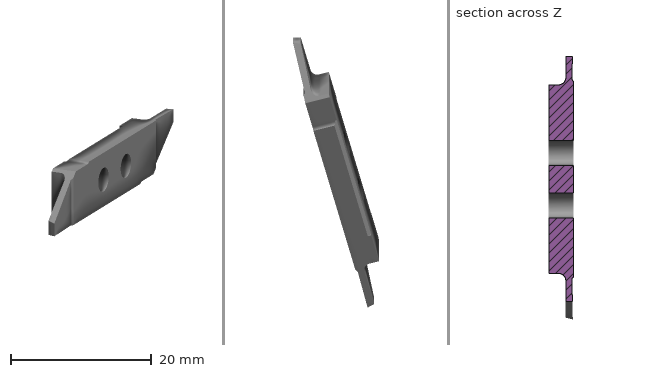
import cadquery as cq
import math

THICKNESS = 3.6
LENGTH = 40.0
HEIGHT = 8.0

BODY_END_Y = 13.45
BLADE_BACK_X = 0.62
BLADE_TIP_X = 1.68
BLADE_FILLET = 1.0
TIP_HEIGHT = 1.88
TIP_BEVEL_ANGLE = 15.0
SLOPE_ANGLE = 40.0

NECK_X = 1.55
NECK_RAMP_START_Y = 13.85
NECK_START_Y = 14.2

STEP_DEPTH = 0.25
STEP_RADIUS = 0.6
STEP_START_Y = 8.65

CHAMFER = 0.5
CHAMFER_END_Y = 9.25

HOLE_DIAMETER = 3.5
HOLE_SPACING = 7.5

HALF_THICKNESS = THICKNESS / 2
HALF_LENGTH = LENGTH / 2
HALF_HEIGHT = HEIGHT / 2


def plan_body():
    """Plan outline of the body and both blades, extruded over the full height."""
    bevel = (BLADE_TIP_X - BLADE_BACK_X) * math.tan(math.radians(TIP_BEVEL_ANGLE))
    tip_back_y = HALF_LENGTH - bevel
    fillet_y = BODY_END_Y + BLADE_FILLET
    fillet_x = BLADE_BACK_X - BLADE_FILLET
    arc_offset = BLADE_FILLET * math.sqrt(0.5)
    arc_x = fillet_x + arc_offset
    arc_y = fillet_y - arc_offset
    return (
        cq.Workplane("XY", origin=(0, 0, -HALF_HEIGHT))
        .moveTo(-HALF_THICKNESS, -BODY_END_Y)
        .lineTo(-HALF_THICKNESS, BODY_END_Y)
        .lineTo(fillet_x, BODY_END_Y)
        .threePointArc((arc_x, arc_y), (BLADE_BACK_X, fillet_y))
        .lineTo(BLADE_BACK_X, tip_back_y)
        .lineTo(BLADE_TIP_X, HALF_LENGTH)
        .lineTo(NECK_X, NECK_START_Y)
        .lineTo(HALF_THICKNESS, NECK_RAMP_START_Y)
        .lineTo(HALF_THICKNESS, -NECK_RAMP_START_Y)
        .lineTo(NECK_X, -NECK_START_Y)
        .lineTo(BLADE_TIP_X, -HALF_LENGTH)
        .lineTo(BLADE_BACK_X, -tip_back_y)
        .lineTo(BLADE_BACK_X, -fillet_y)
        .threePointArc((arc_x, -arc_y), (fillet_x, -BODY_END_Y))
        .close()
        .extrude(HEIGHT)
    )


def side_envelope():
    """Side outline with the stepped edges and sloped ends, extruded along X."""
    step_z = HALF_HEIGHT - STEP_DEPTH
    tip_z = HALF_HEIGHT - TIP_HEIGHT
    slope_start_y = HALF_LENGTH - (step_z + tip_z) / math.tan(math.radians(SLOPE_ANGLE))
    arc_angle = math.acos(1 - STEP_DEPTH / STEP_RADIUS)
    step_end_y = STEP_START_Y + STEP_RADIUS * math.sin(arc_angle)
    arc_mid_y = step_end_y - STEP_RADIUS * math.sin(arc_angle / 2)
    arc_mid_z = step_z + STEP_RADIUS * (1 - math.cos(arc_angle / 2))
    outline = cq.Workplane("YZ", origin=(-HALF_THICKNESS, 0, 0)).moveTo(-HALF_LENGTH, -HALF_HEIGHT)
    for turn in (1, -1):
        outline = (
            outline.lineTo(turn * STEP_START_Y, -turn * HALF_HEIGHT)
            .threePointArc((turn * arc_mid_y, -turn * arc_mid_z), (turn * step_end_y, -turn * step_z))
            .lineTo(turn * slope_start_y, -turn * step_z)
            .lineTo(turn * HALF_LENGTH, turn * tip_z)
            .lineTo(turn * HALF_LENGTH, turn * HALF_HEIGHT)
        )
    return outline.close().extrude(THICKNESS)


def edge_chamfer(side):
    """Triangular cutter for the back edge; side is +1 for the top and -1 for the bottom."""
    edge_z = side * HALF_HEIGHT
    return (
        cq.Workplane("XZ", origin=(0, CHAMFER_END_Y, 0))
        .moveTo(-HALF_THICKNESS, edge_z)
        .lineTo(-HALF_THICKNESS + CHAMFER, edge_z)
        .lineTo(-HALF_THICKNESS, edge_z - side * CHAMFER)
        .close()
        .extrude(2 * CHAMFER_END_Y)
    )


def through_holes():
    """Pair of cylinders along X for the mounting holes."""
    return (
        cq.Workplane("YZ", origin=(-HALF_THICKNESS, 0, 0))
        .pushPoints([(-HOLE_SPACING / 2, 0), (HOLE_SPACING / 2, 0)])
        .circle(HOLE_DIAMETER / 2)
        .extrude(THICKNESS)
    )


result = plan_body().intersect(side_envelope())
for edge_side in (1, -1):
    result = result.cut(edge_chamfer(edge_side))
result = result.cut(through_holes())